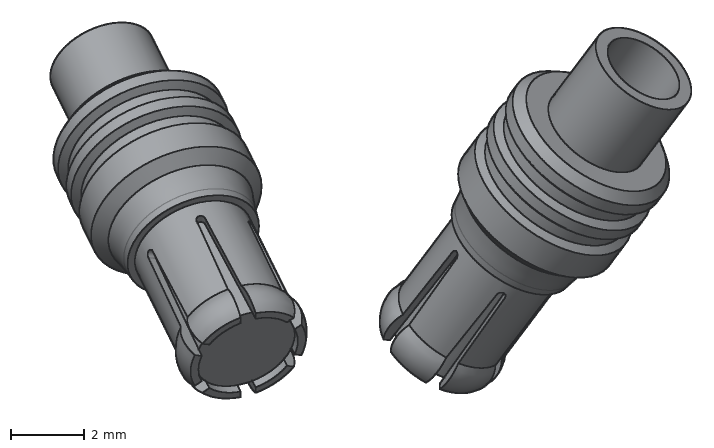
import cadquery as cq

length = 11.33

tube_diameter = 3.05
tube_bore_diameter = 2.29
tube_length = 2.55

collar_diameter = 5.0
collar_rear_chamfer = 0.27
groove_diameter = 4.52
groove_floor_length = 0.37
groove_chamfer = 0.14
rear_ring_end = 3.2
middle_ring_start = rear_ring_end + groove_floor_length + 2 * groove_chamfer
middle_ring_end = 4.2
front_ring_start = middle_ring_end + groove_floor_length + 2 * groove_chamfer
front_ring_end = 5.75

neck_start = 6.1
neck_start_radius = 2.12
neck_middle = 6.47
neck_middle_radius = 2.03
neck_end = 6.84
neck_end_radius = 1.96
lip_end = 7.07
lip_radius = 1.93

finger_diameter = 3.42
core_diameter = 2.91
core_recess = 0.25
bulge_start = 10.28
bulge_middle = (bulge_start + length) / 2
bulge_radius = 1.86
finger_tip_radius = 1.69

slot_count = 6
slot_start = 7.53
slot_start_width = 0.25
slot_end_width = 0.44


def make_body():
    """Revolve the complete outer profile about X."""
    tube_radius = tube_diameter / 2
    collar_radius = collar_diameter / 2
    groove_radius = groove_diameter / 2
    finger_radius = finger_diameter / 2
    profile = (
        cq.Workplane("XY")
        .lineTo(0, tube_radius)
        .lineTo(tube_length, tube_radius)
        .lineTo(tube_length, collar_radius - collar_rear_chamfer)
        .lineTo(tube_length + collar_rear_chamfer, collar_radius)
    )
    grooves = [(rear_ring_end, middle_ring_start), (middle_ring_end, front_ring_start)]
    for groove_start, groove_end in grooves:
        profile = (
            profile.lineTo(groove_start, collar_radius)
            .lineTo(groove_start + groove_chamfer, groove_radius)
            .lineTo(groove_end - groove_chamfer, groove_radius)
            .lineTo(groove_end, collar_radius)
        )
    profile = (
        profile.lineTo(front_ring_end, collar_radius)
        .lineTo(neck_start, neck_start_radius)
        .threePointArc((neck_middle, neck_middle_radius), (neck_end, neck_end_radius))
        .lineTo(lip_end, lip_radius)
        .lineTo(lip_end, finger_radius)
        .lineTo(bulge_start, finger_radius)
        .threePointArc((bulge_middle, bulge_radius), (length, finger_tip_radius))
        .lineTo(length, 0)
        .close()
    )
    return profile.revolve(360, (0, 0, 0), (1, 0, 0))


def make_cylinder(start, end, diameter):
    """Make a cylinder along X between two positions."""
    return cq.Workplane("YZ", origin=(start, 0, 0)).circle(diameter / 2).extrude(end - start)


def make_slots():
    """Make the widening, round-ended slots that separate the fingers."""
    start_radius = slot_start_width / 2
    end_half_width = slot_end_width / 2
    arc_center = slot_start + start_radius
    slot = (
        cq.Workplane("XY")
        .moveTo(arc_center, -start_radius)
        .threePointArc((slot_start, 0), (arc_center, start_radius))
        .lineTo(length, end_half_width)
        .lineTo(length, -end_half_width)
        .close()
        .extrude(collar_diameter / 2)
    )
    slots = slot
    for index in range(1, slot_count):
        slots = slots.union(slot.rotate((0, 0, 0), (1, 0, 0), index * 360 / slot_count))
    return slots.cut(make_cylinder(0, length, core_diameter))


tube_bore = make_cylinder(0, tube_length, tube_bore_diameter)
tip_recess = make_cylinder(length - core_recess, length, core_diameter)

result = make_body().cut(tube_bore).cut(tip_recess).cut(make_slots())